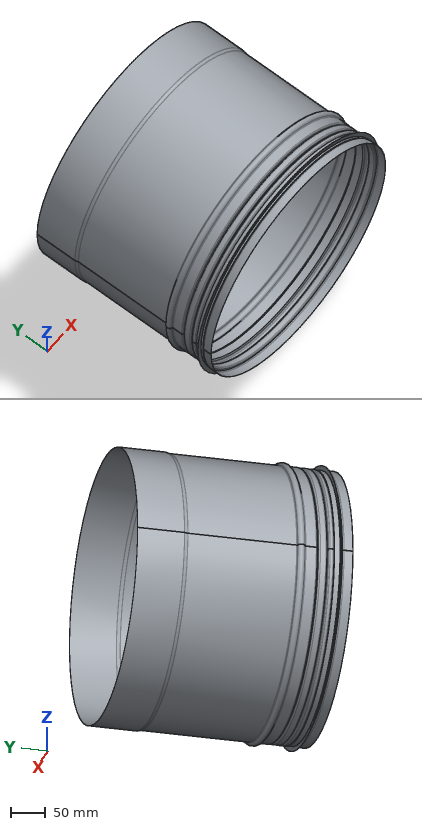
import cadquery as cq
import math

LENGTH = 320.0
WALL = 0.62
PIPE_R = 401.7 / 2
SLIT_WIDTH = 0.5

SOCKET_R = 202.5
SOCKET_DEPTH = 69.5
CONE_LENGTH = 5.5

BEAD_TOP_R = 205.5
BEAD_CENTRE_Y = 76.5
BEAD_ROUND_R = 6.2
BEAD_FOOT_R = 1.05

GROOVE_FLOOR_R = 195.5
LIP_END_R = 397.0 / 2
LIP_ROUND_R = PIPE_R - LIP_END_R
FLOOR_ROUND_R = 1.5
FIN_GROOVE_START = 13.3
FIN_GROOVE_END = 29.5
RING_GROOVE_START = 34.0
RING_GROOVE_END = 54.5

RING_R = 200.5
RING_GAP = 1.5
RING_ROUND_R = 2.0

BAND_R = 400.5 / 2
FIN_R = 414.5 / 2
FIN_Y = 18.5
FIN_THICKNESS = 0.62


def turn(half_section):
    """Revolve a half section, drawn with X as the radius, about the Y axis, its seam on the -X side."""
    return half_section.revolve(360, (0, 0, 0), (0, 1, 0)).rotate((0, 0, 0), (0, 1, 0), 180)


def arc_point(centre, radius, angle):
    """Point on an arc; the angle is in degrees from the radial direction."""
    turned = math.radians(angle)
    return (centre[0] + radius * math.cos(turned), centre[1] + radius * math.sin(turned))


def add_arc(path, centre, start_angle, end_angle, radius):
    """Continue a path that already stands at the start of an arc."""
    middle = arc_point(centre, radius, (start_angle + end_angle) / 2)
    return path.threePointArc(middle, arc_point(centre, radius, end_angle))


def line_and_arc(path, centre, start_angle, end_angle, radius):
    """Continue a path straight to the start of an arc and then along it."""
    path = path.lineTo(*arc_point(centre, radius, start_angle))
    return add_arc(path, centre, start_angle, end_angle, radius)


def groove(path, start, end, inset):
    """Continue a wall contour through one groove."""
    floor_centre_r = GROOVE_FLOOR_R + FLOOR_ROUND_R
    floor_start = start + LIP_ROUND_R + FLOOR_ROUND_R
    floor_end = end - LIP_ROUND_R - FLOOR_ROUND_R
    lip_r = LIP_ROUND_R - inset
    floor_r = FLOOR_ROUND_R + inset
    path = line_and_arc(path, (LIP_END_R, start), 0, 90, lip_r)
    path = line_and_arc(path, (floor_centre_r, floor_start), 270, 180, floor_r)
    path = line_and_arc(path, (floor_centre_r, floor_end), 180, 90, floor_r)
    return line_and_arc(path, (LIP_END_R, end), -90, 0, lip_r)


def bead(path, inset):
    """Continue a wall contour over the stop bead, whose round crest meets the pipe in small foot arcs."""
    crest_r = BEAD_TOP_R - BEAD_ROUND_R
    foot_r = PIPE_R + BEAD_FOOT_R
    centre_distance = BEAD_ROUND_R + BEAD_FOOT_R
    foot_spread = math.sqrt(centre_distance**2 - (foot_r - crest_r) ** 2)
    join_angle = math.degrees(math.atan2(foot_spread, foot_r - crest_r))
    crest_round = BEAD_ROUND_R - inset
    foot_round = BEAD_FOOT_R + inset
    near_foot = (foot_r, BEAD_CENTRE_Y - foot_spread)
    far_foot = (foot_r, BEAD_CENTRE_Y + foot_spread)
    path = line_and_arc(path, near_foot, 180, 180 - join_angle, foot_round)
    path = add_arc(path, (crest_r, BEAD_CENTRE_Y), -join_angle, join_angle, crest_round)
    return add_arc(path, far_foot, 180 + join_angle, 180, foot_round)


def pipe_core(inset):
    """Solid bounded by the pipe contour moved inwards by the inset."""
    pipe_r = PIPE_R - inset
    socket_r = SOCKET_R - inset
    socket_start = LENGTH - SOCKET_DEPTH
    path = cq.Workplane("XY").lineTo(pipe_r, 0)
    path = groove(path, FIN_GROOVE_START, FIN_GROOVE_END, inset)
    path = groove(path, RING_GROOVE_START, RING_GROOVE_END, inset)
    path = bead(path, inset)
    path = path.lineTo(pipe_r, socket_start - CONE_LENGTH).lineTo(socket_r, socket_start)
    return turn(path.lineTo(socket_r, LENGTH).lineTo(0, LENGTH).close())


def make_pipe():
    """Rolled sheet pipe, one wall thick, with an open slit along its -X side."""
    slit = cq.Workplane("XY").box(SOCKET_R * 2, LENGTH, SLIT_WIDTH, centered=(False, False, True))
    slit = slit.translate((-SOCKET_R * 2, 0, 0))
    return pipe_core(0).cut(pipe_core(WALL)).cut(slit)


def hoop(inner_r, outer_r, start, end):
    """Ring of rectangular section between two Y positions."""
    section = cq.Workplane("XY").moveTo(inner_r, start).lineTo(outer_r, start)
    return turn(section.lineTo(outer_r, end).lineTo(inner_r, end).close())


def make_plain_ring():
    """Ring on the floor of the groove nearest the bead, with its outer edges rounded."""
    side_gap = LIP_ROUND_R + RING_GAP
    ring = hoop(GROOVE_FLOOR_R, RING_R, RING_GROOVE_START + side_gap, RING_GROOVE_END - side_gap)
    outer_edges = cq.selectors.RadiusNthSelector(-1)
    return ring.edges(outer_edges).fillet(RING_ROUND_R)


def make_fin_seal():
    """Band that fills the groove nearest the mouth, rounded to fit its floor, with its fin."""
    start = FIN_GROOVE_START + LIP_ROUND_R
    end = FIN_GROOVE_END - LIP_ROUND_R
    band = hoop(GROOVE_FLOOR_R, BAND_R, start, end)
    inner_edges = cq.selectors.RadiusNthSelector(0)
    band = band.edges(inner_edges).fillet(FLOOR_ROUND_R)
    fin = hoop(GROOVE_FLOOR_R, FIN_R, FIN_Y, FIN_Y + FIN_THICKNESS)
    return band.union(fin)


pipe = make_pipe()
plain_ring = make_plain_ring()
fin_seal = make_fin_seal()

result = cq.Compound.makeCompound([pipe.val(), plain_ring.val(), fin_seal.val()])